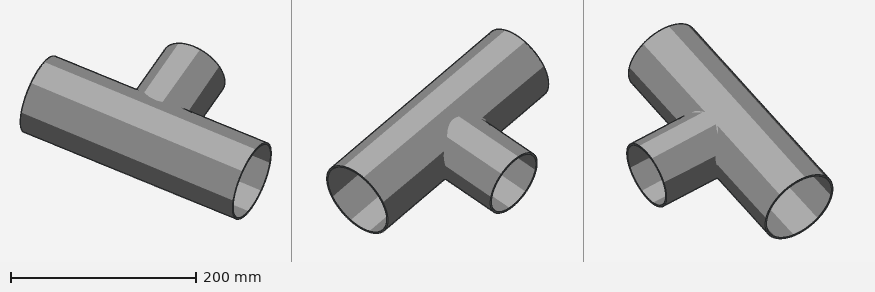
import cadquery as cq

run_length = 260.0
run_outer_diameter = 89.0
run_bore_diameter = 85.0

branch_reach = 110.0
branch_outer_diameter = 76.2
branch_bore_diameter = 72.0

weld_radius = 2.0


def run_cylinder(diameter):
    """Cylinder along X, centred on the origin."""
    return cq.Workplane("YZ").circle(diameter / 2).extrude(run_length / 2, both=True)


def branch_cylinder(diameter):
    """Cylinder from the main pipe axis to the open end of the branch."""
    return cq.Workplane("XZ").circle(diameter / 2).extrude(-branch_reach)


joint_box = cq.selectors.BoxSelector(
    (-branch_outer_diameter, 0, -run_outer_diameter),
    (branch_outer_diameter, run_outer_diameter / 2 + weld_radius, run_outer_diameter),
    boundingbox=True,
)
tee = run_cylinder(run_outer_diameter).union(branch_cylinder(branch_outer_diameter))
tee = tee.edges(joint_box).fillet(weld_radius)

result = tee.cut(run_cylinder(run_bore_diameter)).cut(branch_cylinder(branch_bore_diameter))